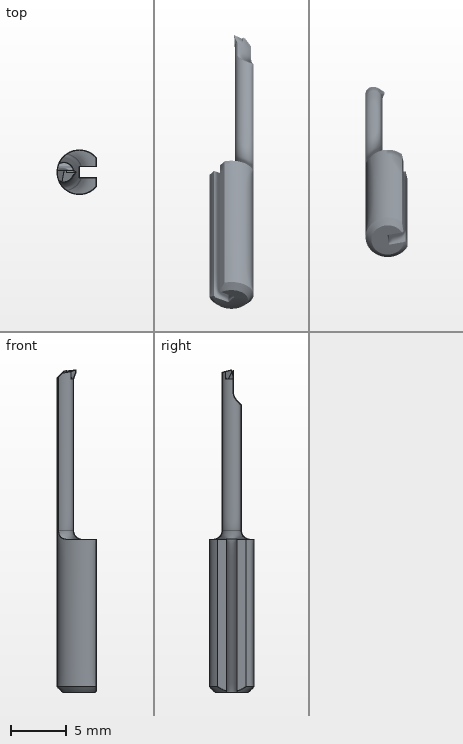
import cadquery as cq
import math

total_length = 29.0
shank_radius = 2.0
shank_length = 13.78
flat_x = 1.55
foot_chamfer = 0.52
slot_width = 1.0
slot_start_x = 0.0

neck_radius = 0.87
neck_x = -1.4
root_fillet = 0.78

rake_y = 0.15
relief_radius = 1.1
relief_start_z = 27.03
relief_angle = math.radians(45)

tip_x = -0.32
tip_land = 0.25
tooth_height = 0.8
tooth_root_x = neck_x + neck_radius
end_rise = 0.12
end_drop = 0.15
end_line_x = -1.33
back_chamfer = 0.72
clearance_run_x = 0.55
clearance_run_y = 0.72
clearance_depth = 1.02
clearance_floor_angle = math.radians(60)
rake_dish_depth = 0.17
rake_dish_height = 0.72
rake_dish_x = -1.15

cutter_size = 4 * shank_radius


def make_shank():
    return cq.Workplane("XY").circle(shank_radius).extrude(shank_length).faces("<Z").chamfer(foot_chamfer)


def make_neck():
    """Neck and its concave root, revolved about the neck axis."""
    root_radius = neck_radius + root_fillet
    fillet_top = shank_length + root_fillet
    arc_offset = root_fillet * math.sqrt(0.5)
    profile = (
        cq.Workplane("XZ", origin=(neck_x, 0, 0))
        .moveTo(0, shank_length - root_fillet)
        .lineTo(root_radius, shank_length - root_fillet)
        .lineTo(root_radius, shank_length)
        .threePointArc((root_radius - arc_offset, fillet_top - arc_offset), (neck_radius, fillet_top))
        .lineTo(neck_radius, total_length)
        .lineTo(0, total_length)
        .close()
    )
    envelope = cq.Workplane("XY").circle(shank_radius).extrude(total_length)
    return profile.revolve(360, (0, 0), (0, 1)).intersect(envelope)


def make_tooth():
    """Cutting tooth standing out from the neck."""
    outline = [
        (neck_x, total_length),
        (tip_x, total_length),
        (tip_x, total_length - tip_land),
        (tooth_root_x, total_length - tooth_height),
        (neck_x, total_length - tooth_height),
    ]
    return cq.Workplane("XZ", origin=(0, rake_y, 0)).polyline(outline).close().extrude(clearance_run_y)


def shank_flat():
    return cq.Workplane("XY").box(cutter_size, cutter_size, total_length, centered=(False, True, False)).translate(
        (flat_x, 0, 0)
    )


def coolant_slot():
    return cq.Workplane("XY").box(cutter_size, slot_width, total_length, centered=(False, True, False)).translate(
        (slot_start_x, 0, 0)
    )


def rake_relief():
    """Clears the +Y half of the tip, running out along an arc and a slope."""
    centre_y = rake_y + relief_radius

    def arc_point(angle):
        return (centre_y - relief_radius * math.cos(angle), relief_start_z - relief_radius * math.sin(angle))

    slope_start = arc_point(relief_angle)
    run_out = neck_radius
    return (
        cq.Workplane("YZ", origin=(-cutter_size / 2, 0, 0))
        .moveTo(rake_y, total_length)
        .lineTo(rake_y, relief_start_z)
        .threePointArc(arc_point(relief_angle / 2), slope_start)
        .lineTo(slope_start[0] + run_out, slope_start[1] - run_out / math.tan(relief_angle))
        .lineTo(slope_start[0] + run_out, total_length)
        .close()
        .extrude(cutter_size)
    )


def rake_dish():
    """Slanted notch that sets the cutting edge back from the rake face."""
    outline = [
        (rake_y, total_length),
        (rake_y, total_length - rake_dish_height),
        (rake_y - rake_dish_depth, total_length),
    ]
    return cq.Workplane("YZ", origin=(rake_dish_x, 0, 0)).polyline(outline).close().extrude(cutter_size)


def side_clearance():
    """Slants the tooth flank and the neck behind it back from the tip, above a sloping floor."""
    edge_y = rake_y - rake_dish_depth
    outline = [
        (tip_x, edge_y),
        (tip_x - 2 * clearance_run_x, edge_y - 2 * clearance_run_y),
        (cutter_size, edge_y - 2 * clearance_run_y),
        (cutter_size, edge_y),
    ]
    flank = (
        cq.Workplane("XY", origin=(0, 0, total_length - clearance_depth))
        .polyline(outline)
        .close()
        .extrude(clearance_depth)
    )
    floor_run = clearance_depth / math.tan(clearance_floor_angle)
    above_floor = (
        cq.Workplane("XZ", origin=(0, cutter_size / 2, 0))
        .moveTo(tooth_root_x, total_length - clearance_depth)
        .lineTo(cutter_size, total_length - clearance_depth)
        .lineTo(cutter_size, total_length)
        .lineTo(tooth_root_x - floor_run, total_length)
        .close()
        .extrude(cutter_size)
    )
    return flank.intersect(above_floor)


def back_corner():
    """45 degree bevel on the outer corner opposite the tip."""
    outline = [
        (-shank_radius, total_length - back_chamfer),
        (-shank_radius, total_length),
        (-shank_radius + back_chamfer, total_length),
    ]
    return cq.Workplane("XZ", origin=(0, cutter_size / 2, 0)).polyline(outline).close().extrude(cutter_size)


def end_clearance():
    """Tilts the end face down toward -X and toward -Y from the cutting point."""
    slope_x = math.degrees(math.atan(end_rise / (tip_x - end_line_x)))
    slope_y = math.degrees(math.atan(end_drop / neck_radius))
    return (
        cq.Workplane("XY")
        .box(cutter_size, cutter_size, cutter_size, centered=(True, True, False))
        .rotate((0, 0, 0), (1, 0, 0), slope_y)
        .rotate((0, 0, 0), (0, 1, 0), -slope_x)
        .translate((tip_x, rake_y - rake_dish_depth, total_length))
    )


result = make_shank().union(make_neck()).union(make_tooth())
for cutter in (
    shank_flat(),
    coolant_slot(),
    rake_relief(),
    rake_dish(),
    side_clearance(),
    back_corner(),
    end_clearance(),
):
    result = result.cut(cutter)